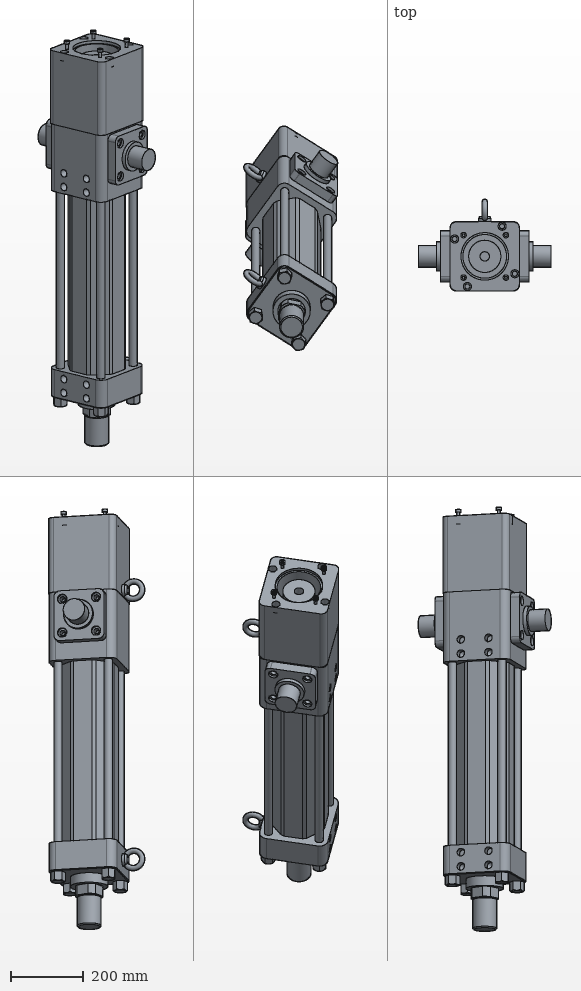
import cadquery as cq
import math

BLOCK_SIDE = 191.0
HEAD_RADIUS = 23.0
FRONT_HEAD_CHAMFER = 2.0
ADAPTER_RADIUS = 17.0

GLAND_BOTTOM = 114.0
FRONT_HEAD_BOTTOM = 141.0
FRONT_HEAD_TOP = 222.0
REAR_HEAD_BOTTOM = 736.0
SEAM = 929.0
ADAPTER_TOP = 1141.0
SCREW_TOP = 1165.0

TUBE_APOTHEM = 77.0
TUBE_EDGE_SETBACK = 6.0
TIE_ROD_OFFSET = 71.0
TIE_ROD_DIAMETER = 23.0
NUT_ACROSS_CORNERS = 41.0
NUT_CHAMFER = 3.0
GLAND_DIAMETER = 102.0

ROD_DIAMETER = 76.0
ROD_FLAT_WIDTH = 66.0
ROD_FLAT_ANGLE = 69.3
ROD_FLAT_BOTTOM = 86.0
THREAD_DIAMETER = 66.0
THREAD_CHAMFER = 3.0
ROD_INSERTION = 27.0

TRUNNION_Z = 855.0
TRUNNION_SPAN = 365.0
TRUNNION_DIAMETER = 60.0
SHOULDER_SPAN = 265.0
SHOULDER_DIAMETER = 82.0
PLATE_SPAN = 243.0
PLATE_SIDE = 141.0
PLATE_RADIUS = 15.0
PLATE_HOLE_PITCH = 95.0
PLATE_BORE_DIAMETER = 26.0
PLATE_BORE_DEPTH = 7.0
PLATE_HOLE_DIAMETER = 15.0
PLATE_HOLE_DEPTH = 23.0

SIDE_HOLE_PITCH = 79.0
SIDE_HOLE_DIAMETER = 21.0
SIDE_HOLE_DEPTH = 23.0
SIDE_HOLE_ROW_PITCH = 40.0
FRONT_TAPPED_Z = 162.0
REAR_TAPPED_Z = 756.0
DRILL_POINT_ANGLE = 118

FRONT_EYE_Z = 184.0
REAR_EYE_Z = 947.0
OVERALL_DEPTH = 253.0
EYE_RING_RADIUS = 25.0
EYE_WIRE_RADIUS = 7.6
EYE_COLLAR_DIAMETER = 35.0
EYE_COLLAR_LENGTH = 8.0
EYE_TAPER_DIAMETER = 28.0
EYE_TAPER_LENGTH = 6.0

PILOT_DIAMETER = 130.0
PILOT_DEPTH = 8.0
BORE_DIAMETER = 120.0
HUB_DIAMETER = 88.0
HUB_TOP = ADAPTER_TOP - 23.0
HUB_HOLE_DIAMETER = 26.0
HUB_HOLE_DEPTH = 35.0

ADAPTER_BORE_DIAMETER = 22.0
ADAPTER_BORE_DEPTH = 23.0
ADAPTER_HOLE_DIAMETER = 14.0
ADAPTER_HOLE_DEPTH = 47.0
ADAPTER_HOLE_NEAR = 48.0
ADAPTER_HOLE_FAR = 83.0

SCREW_OFFSET = 58.0
SCREW_HEAD_DIAMETER = 15.0
SCREW_HEAD_HEIGHT = 7.6
SCREW_SHANK_DIAMETER = 8.5
SCREW_INSERTION = 23.0
SOCKET_ACROSS_CORNERS = 8.0
SOCKET_DEPTH = 3.0


def square_corners(offset):
    """Four points at (+-offset, +-offset)."""
    return [(x, y) for x in (-offset, offset) for y in (-offset, offset)]


def cylinder(diameter, bottom, top, points=((0, 0),)):
    """Upright cylinders between two heights."""
    return (
        cq.Workplane("XY", origin=(0, 0, bottom))
        .pushPoints(list(points))
        .circle(diameter / 2)
        .extrude(top - bottom)
    )


def square_block(bottom, top, corner_radius):
    """Square block with rounded vertical edges."""
    return (
        cq.Workplane("XY", origin=(0, 0, bottom))
        .rect(BLOCK_SIDE, BLOCK_SIDE)
        .extrude(top - bottom)
        .edges("|Z")
        .fillet(corner_radius)
    )


def drilled_hole(start, direction, diameter, depth):
    """Cutter for a blind round hole that ends in a drill point."""
    radius = diameter / 2
    point_length = radius / math.tan(math.radians(DRILL_POINT_ANGLE / 2))
    start = cq.Vector(*start)
    direction = cq.Vector(*direction)
    barrel = cq.Solid.makeCylinder(radius, depth, start, direction)
    point = cq.Solid.makeCone(radius, 0, point_length, start + direction * depth, direction)
    return cq.Workplane(obj=barrel.fuse(point))


def make_tube():
    """Octagonal tube with flats facing the axes and chamfered edges."""
    across_corners = 2 * TUBE_APOTHEM / math.cos(math.pi / 8)
    return (
        cq.Workplane("XY", origin=(0, 0, FRONT_HEAD_TOP))
        .transformed(rotate=(0, 0, 22.5))
        .polygon(8, across_corners)
        .extrude(REAR_HEAD_BOTTOM - FRONT_HEAD_TOP)
        .edges("|Z")
        .chamfer(TUBE_EDGE_SETBACK)
    )


def make_nuts():
    """Hexagonal tie-rod nuts below the front head, each with a flat facing outwards."""
    nuts = cq.Workplane("XY")
    for x, y in square_corners(TIE_ROD_OFFSET):
        facing = math.degrees(math.atan2(y, x))
        nuts = nuts.add(
            cq.Workplane("XY", origin=(x, y, GLAND_BOTTOM))
            .transformed(rotate=(0, 0, facing + 30))
            .polygon(6, NUT_ACROSS_CORNERS)
            .extrude(FRONT_HEAD_BOTTOM - GLAND_BOTTOM)
            .intersect(
                cylinder(NUT_ACROSS_CORNERS, GLAND_BOTTOM, FRONT_HEAD_BOTTOM, [(x, y)])
                .faces("<Z")
                .chamfer(NUT_CHAMFER)
            )
        )
    return nuts


def make_trunnions():
    """Square plate, shoulder and pin on the -X and +X sides, as one bar through the head."""
    side = cq.Workplane("YZ", origin=(0, 0, TRUNNION_Z))
    plates = (
        side.rect(PLATE_SIDE, PLATE_SIDE)
        .extrude(PLATE_SPAN / 2, both=True)
        .edges("|X")
        .fillet(PLATE_RADIUS)
    )
    shoulders = side.circle(SHOULDER_DIAMETER / 2).extrude(SHOULDER_SPAN / 2, both=True)
    pins = side.circle(TRUNNION_DIAMETER / 2).extrude(TRUNNION_SPAN / 2, both=True)
    return plates.union(shoulders).union(pins)


def cut_plate_holes(housing):
    """Counterbored screw holes in the corners of both trunnion plates."""
    for side in (-1, 1):
        inward = (-side, 0, 0)
        face = side * PLATE_SPAN / 2
        floor = side * (PLATE_SPAN / 2 - PLATE_BORE_DEPTH)
        for y, z in square_corners(PLATE_HOLE_PITCH / 2):
            counterbore = cq.Solid.makeCylinder(
                PLATE_BORE_DIAMETER / 2,
                PLATE_BORE_DEPTH,
                cq.Vector(face, y, TRUNNION_Z + z),
                cq.Vector(*inward),
            )
            hole = drilled_hole((floor, y, TRUNNION_Z + z), inward, PLATE_HOLE_DIAMETER, PLATE_HOLE_DEPTH)
            housing = housing.cut(cq.Workplane(obj=counterbore)).cut(hole)
    return housing


def cut_side_holes(housing):
    """Flat-bottomed dowel holes above drill-pointed tapped holes in the -Y faces."""
    inward = (0, 1, 0)
    for tapped_z in (FRONT_TAPPED_Z, REAR_TAPPED_Z):
        for x in (-SIDE_HOLE_PITCH / 2, SIDE_HOLE_PITCH / 2):
            tapped = drilled_hole((x, -BLOCK_SIDE / 2, tapped_z), inward, SIDE_HOLE_DIAMETER, SIDE_HOLE_DEPTH)
            dowel = cq.Solid.makeCylinder(
                SIDE_HOLE_DIAMETER / 2,
                SIDE_HOLE_DEPTH,
                cq.Vector(x, -BLOCK_SIDE / 2, tapped_z + SIDE_HOLE_ROW_PITCH),
                cq.Vector(*inward),
            )
            housing = housing.cut(tapped).cut(cq.Workplane(obj=dowel))
    return housing


def make_eyebolt(height):
    """Lifting ring in the YZ plane with its tapered collar on the +Y face."""
    ring_y = OVERALL_DEPTH - BLOCK_SIDE / 2 - EYE_RING_RADIUS - EYE_WIRE_RADIUS
    ring = (
        cq.Workplane("XY", origin=(0, ring_y, height))
        .center(0, -EYE_RING_RADIUS)
        .circle(EYE_WIRE_RADIUS)
        .revolve(360, (0, EYE_RING_RADIUS), (1, EYE_RING_RADIUS))
    )
    outward = cq.Vector(0, 1, 0)
    collar_start = cq.Vector(0, BLOCK_SIDE / 2, height)
    taper_start = collar_start + outward * EYE_COLLAR_LENGTH
    collar = cq.Solid.makeCylinder(EYE_COLLAR_DIAMETER / 2, EYE_COLLAR_LENGTH, collar_start, outward)
    taper = cq.Solid.makeCone(
        EYE_COLLAR_DIAMETER / 2, EYE_TAPER_DIAMETER / 2, EYE_TAPER_LENGTH, taper_start, outward
    )
    return cq.Workplane(obj=collar.fuse(taper)).union(ring)


def make_hub():
    """Coupling hub that rises from the rear head into the adapter bore."""
    hub = cylinder(HUB_DIAMETER, SEAM, HUB_TOP)
    return hub.cut(cylinder(HUB_HOLE_DIAMETER, HUB_TOP - HUB_HOLE_DEPTH, HUB_TOP))


def make_housing():
    """Both heads with tube, tie rods, nuts, gland, trunnions, hub and front eyebolt."""
    housing = square_block(FRONT_HEAD_BOTTOM, FRONT_HEAD_TOP, HEAD_RADIUS)
    housing = housing.faces("<Z").chamfer(FRONT_HEAD_CHAMFER)
    housing = housing.union(make_tube())
    housing = housing.union(square_block(REAR_HEAD_BOTTOM, SEAM, HEAD_RADIUS))
    tie_rod_places = square_corners(TIE_ROD_OFFSET)
    housing = housing.union(cylinder(TIE_ROD_DIAMETER, FRONT_HEAD_TOP, REAR_HEAD_BOTTOM, tie_rod_places))
    for nut in make_nuts().vals():
        housing = housing.union(cq.Workplane(obj=nut))
    housing = housing.union(cylinder(GLAND_DIAMETER, GLAND_BOTTOM, FRONT_HEAD_BOTTOM))
    housing = housing.union(make_trunnions())
    housing = housing.union(make_hub())
    housing = housing.union(make_eyebolt(FRONT_EYE_Z))
    housing = cut_plate_holes(housing)
    housing = cut_side_holes(housing)
    return housing.cut(cylinder(ROD_DIAMETER, GLAND_BOTTOM, GLAND_BOTTOM + ROD_INSERTION))


def make_rod():
    """Piston rod end with four wrench flats above a round thread."""
    flats = (
        cq.Workplane("XY", origin=(0, 0, ROD_FLAT_BOTTOM))
        .transformed(rotate=(0, 0, ROD_FLAT_ANGLE))
        .rect(ROD_FLAT_WIDTH, ROD_FLAT_WIDTH)
        .extrude(GLAND_BOTTOM - ROD_FLAT_BOTTOM)
    )
    wrench = cylinder(ROD_DIAMETER, ROD_FLAT_BOTTOM, GLAND_BOTTOM).intersect(flats)
    inserted = cylinder(ROD_DIAMETER, GLAND_BOTTOM, GLAND_BOTTOM + ROD_INSERTION)
    thread = cylinder(THREAD_DIAMETER, 0, ROD_FLAT_BOTTOM).faces("<Z or >Z").chamfer(THREAD_CHAMFER)
    return thread.union(wrench).union(inserted)


def make_adapter():
    """Motor adapter block with pilot bore, top holes and the rear eyebolt."""
    adapter = square_block(SEAM, ADAPTER_TOP, ADAPTER_RADIUS)
    adapter = adapter.cut(cylinder(BORE_DIAMETER, SEAM, ADAPTER_TOP))
    adapter = adapter.cut(cylinder(PILOT_DIAMETER, ADAPTER_TOP - PILOT_DEPTH, ADAPTER_TOP))
    places = [
        (ADAPTER_HOLE_NEAR, ADAPTER_HOLE_FAR),
        (-ADAPTER_HOLE_FAR, ADAPTER_HOLE_NEAR),
        (-ADAPTER_HOLE_NEAR, -ADAPTER_HOLE_FAR),
        (ADAPTER_HOLE_FAR, -ADAPTER_HOLE_NEAR),
    ]
    holes = cylinder(ADAPTER_HOLE_DIAMETER, ADAPTER_TOP - ADAPTER_HOLE_DEPTH, ADAPTER_TOP, places)
    counterbores = cylinder(ADAPTER_BORE_DIAMETER, ADAPTER_TOP - ADAPTER_BORE_DEPTH, ADAPTER_TOP, places)
    adapter = adapter.cut(counterbores).cut(holes)
    screw_holes = cylinder(
        SCREW_SHANK_DIAMETER, ADAPTER_TOP - SCREW_INSERTION, ADAPTER_TOP, square_corners(SCREW_OFFSET)
    )
    return adapter.cut(screw_holes).union(make_eyebolt(REAR_EYE_Z))


def make_screw(x, y):
    """Motor screw standing partly out of the adapter."""
    head_bottom = SCREW_TOP - SCREW_HEAD_HEIGHT
    shank = cylinder(SCREW_SHANK_DIAMETER, ADAPTER_TOP - SCREW_INSERTION, head_bottom, [(x, y)])
    head = cylinder(SCREW_HEAD_DIAMETER, head_bottom, SCREW_TOP, [(x, y)])
    socket = (
        cq.Workplane("XY", origin=(x, y, SCREW_TOP))
        .polygon(6, SOCKET_ACROSS_CORNERS)
        .extrude(-SOCKET_DEPTH)
    )
    return shank.union(head).cut(socket)


housing = make_housing()
rod = make_rod()
adapter = make_adapter()
screws = [make_screw(x, y).val() for x, y in square_corners(SCREW_OFFSET)]
result = cq.Compound.makeCompound([housing.val(), rod.val(), adapter.val(), *screws])